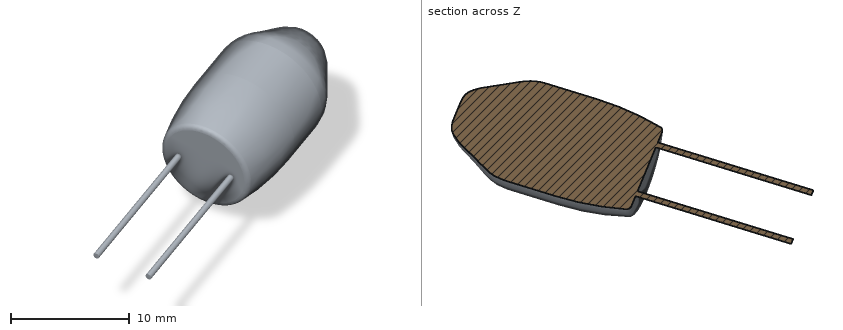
import cadquery as cq
import math

total_length = 30.95
lead_length = 13.93
tail_length = 6.32
barrel_length = 4.58

body_radius = 5.093
tail_end_radius = 4.2
base_rim_radius = 0.45

nose_cap_radius = 1.92
nose_cap_depth = 0.22
nose_mid_radius = 3.95
nose_mid_depth = 3.15

lead_diameter = 0.55
lead_spacing = 5.08

barrel_start = tail_length
barrel_end = barrel_start + barrel_length
nose_tip = total_length - lead_length

tail_drop = body_radius - tail_end_radius
tail_arc_radius = (tail_length**2 + tail_drop**2) / (2 * tail_drop)
tail_mid_offset = tail_length / 2
tail_mid_radius = body_radius - tail_arc_radius + math.sqrt(tail_arc_radius**2 - tail_mid_offset**2)


def make_body():
    """Revolve the half profile about Y and round the base rim."""
    profile = (
        cq.Workplane("XY")
        .lineTo(tail_end_radius, 0)
        .threePointArc((tail_mid_radius, barrel_start - tail_mid_offset), (body_radius, barrel_start))
        .lineTo(body_radius, barrel_end)
        .spline(
            [
                (nose_mid_radius, nose_tip - nose_mid_depth),
                (nose_cap_radius, nose_tip - nose_cap_depth),
                (0, nose_tip),
            ],
            tangents=[(0, 1), (-1, 0)],
            includeCurrent=True,
        )
        .close()
    )
    body = profile.revolve(360, (0, 0, 0), (0, 1, 0))
    return body.faces("<Y").edges().fillet(base_rim_radius)


def make_leads():
    """Two round wires reaching from the base in the -Y direction."""
    half_spacing = lead_spacing / 2
    return (
        cq.Workplane("XZ")
        .pushPoints([(-half_spacing, 0), (half_spacing, 0)])
        .circle(lead_diameter / 2)
        .extrude(lead_length)
    )


result = make_body().union(make_leads())